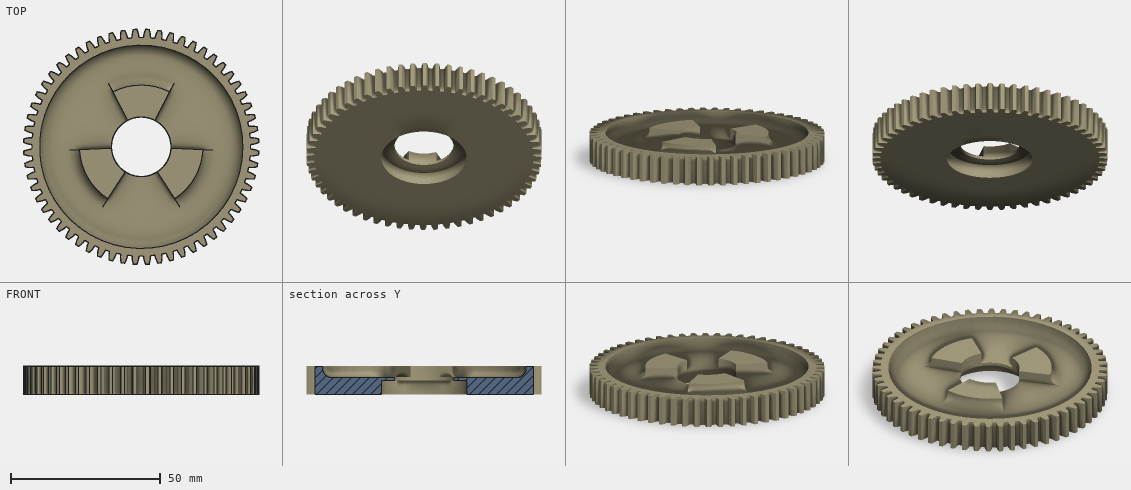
import cadquery as cq
import math

INCH = 25.4

TOOTH_COUNT = 60
DIAMETRAL_PITCH = 20
PRESSURE_ANGLE = math.radians(14.5)
DEDENDUM_FACTOR = 1.2
ROOT_FILLET = 0.010 * INCH
FLANK_POINTS = 5

MODULE = INCH / DIAMETRAL_PITCH
PITCH_RADIUS = TOOTH_COUNT * MODULE / 2
TIP_RADIUS = PITCH_RADIUS + MODULE
ROOT_RADIUS = PITCH_RADIUS - DEDENDUM_FACTOR * MODULE
BASE_RADIUS = PITCH_RADIUS * math.cos(PRESSURE_ANGLE)
TOOTH_STEP = 2 * math.pi / TOOTH_COUNT

FACE_WIDTH = 0.375 * INCH
TOP_Z = FACE_WIDTH / 2
BOTTOM_Z = -FACE_WIDTH / 2
BORE_RADIUS = 9.92
COUNTERBORE_RADIUS = 0.5625 * INCH
COUNTERBORE_DEPTH = 0.185 * INCH
RECESS_RADIUS = 34.0
RECESS_DEPTH = 0.150 * INCH
COVE_RADIUS = 0.125 * INCH
COVE_REACH = COVE_RADIUS * math.sqrt(0.5)
FLOOR_Z = TOP_Z - RECESS_DEPTH

DOG_COUNT = 3
DOG_TOP_RADIUS = 20.65
DOG_HALF_ANGLE = math.radians(27.3)
DOG_FIRST_ANGLE = math.radians(90)
DOG_FOOT_RADIUS = DOG_TOP_RADIUS + COVE_RADIUS


def polar(radius, angle):
    return (radius * math.cos(angle), radius * math.sin(angle))


def involute(angle):
    """Polar angle an involute has turned through when its pressure angle is `angle`."""
    return math.tan(angle) - angle


def tooth_half_angle(radius):
    """Half the angle that one tooth spans at the given radius."""
    local_pressure_angle = math.acos(min(1.0, BASE_RADIUS / radius))
    return TOOTH_STEP / 4 + involute(PRESSURE_ANGLE) - involute(local_pressure_angle)


def flank_radii():
    """Radii along one flank, from the base circle to the tip, at even steps of roll angle."""
    tip_roll = math.sqrt((TIP_RADIUS / BASE_RADIUS) ** 2 - 1)
    rolls = [tip_roll * i / (FLANK_POINTS - 1) for i in range(FLANK_POINTS)]
    return [BASE_RADIUS * math.hypot(1, roll) for roll in rolls]


def make_toothed_disc():
    """Full-width disc with involute flanks, radial below the base circle, and filleted roots."""
    flank_half_angle = tooth_half_angle(BASE_RADIUS)
    fillet_centre_radius = ROOT_RADIUS + ROOT_FILLET
    fillet_half_angle = flank_half_angle + math.asin(ROOT_FILLET / fillet_centre_radius)
    fillet_top_radius = math.sqrt(fillet_centre_radius**2 - ROOT_FILLET**2)

    def fillet_middle(centre, side):
        """Point halfway round the root fillet on one side (-1 or 1) of a tooth."""
        angle = centre + side * fillet_half_angle
        x, y = polar(fillet_centre_radius, angle)
        dx, dy = polar(ROOT_FILLET, angle + math.pi + side * math.pi / 4)
        return (x + dx, y + dy)

    first_tooth = TOOTH_STEP / 2
    outline = cq.Workplane("XY", origin=(0, 0, BOTTOM_Z))
    outline = outline.moveTo(*polar(ROOT_RADIUS, first_tooth - fillet_half_angle))
    for i in range(TOOTH_COUNT):
        centre = first_tooth + i * TOOTH_STEP
        rising = [polar(r, centre - tooth_half_angle(r)) for r in flank_radii()]
        falling = [polar(r, centre + tooth_half_angle(r)) for r in reversed(flank_radii())]
        outline = (
            outline.threePointArc(
                fillet_middle(centre, -1), polar(fillet_top_radius, centre - flank_half_angle)
            )
            .lineTo(*rising[0])
            .spline(rising[1:], includeCurrent=True)
            .threePointArc(polar(TIP_RADIUS, centre), falling[0])
            .spline(falling[1:], includeCurrent=True)
            .lineTo(*polar(fillet_top_radius, centre + flank_half_angle))
            .threePointArc(
                fillet_middle(centre, 1), polar(ROOT_RADIUS, centre + fillet_half_angle)
            )
            .threePointArc(
                polar(ROOT_RADIUS, centre + TOOTH_STEP / 2),
                polar(ROOT_RADIUS, centre + TOOTH_STEP - fillet_half_angle),
            )
        )
    return outline.close().extrude(FACE_WIDTH)


def make_recess():
    """Round top recess with a coved floor edge."""
    cove_centre_radius = RECESS_RADIUS - COVE_RADIUS
    cove_top_z = FLOOR_Z + COVE_RADIUS
    return (
        cq.Workplane("XZ")
        .moveTo(0, TOP_Z)
        .lineTo(RECESS_RADIUS, TOP_Z)
        .lineTo(RECESS_RADIUS, cove_top_z)
        .threePointArc(
            (cove_centre_radius + COVE_REACH, cove_top_z - COVE_REACH),
            (cove_centre_radius, FLOOR_Z),
        )
        .lineTo(0, FLOOR_Z)
        .close()
        .revolve(360, (0, 0, 0), (0, 1, 0))
    )


def make_dog(centre_angle):
    """Radial-sided dog whose outer wall flares through a cove into the floor."""
    cove_top_z = FLOOR_Z + COVE_RADIUS
    end_angle = centre_angle + DOG_HALF_ANGLE
    return (
        cq.Workplane("XZ")
        .moveTo(0, FLOOR_Z)
        .lineTo(DOG_FOOT_RADIUS, FLOOR_Z)
        .threePointArc(
            (DOG_FOOT_RADIUS - COVE_REACH, cove_top_z - COVE_REACH),
            (DOG_TOP_RADIUS, cove_top_z),
        )
        .lineTo(DOG_TOP_RADIUS, TOP_Z)
        .lineTo(0, TOP_Z)
        .close()
        .revolve(math.degrees(2 * DOG_HALF_ANGLE), (0, 0, 0), (0, -1, 0))
        .rotate((0, 0, 0), (0, 0, 1), math.degrees(end_angle))
    )


def make_bottom_hole(radius, depth):
    """Round hole on the gear axis, sunk from the bottom face."""
    return cq.Workplane("XY", origin=(0, 0, BOTTOM_Z)).circle(radius).extrude(depth)


def make_gear():
    recess = make_recess()
    for i in range(DOG_COUNT):
        recess = recess.cut(make_dog(DOG_FIRST_ANGLE + i * 2 * math.pi / DOG_COUNT))
    bore = make_bottom_hole(BORE_RADIUS, FACE_WIDTH)
    counterbore = make_bottom_hole(COUNTERBORE_RADIUS, COUNTERBORE_DEPTH)
    return make_toothed_disc().cut(recess).cut(bore).cut(counterbore)


result = make_gear()